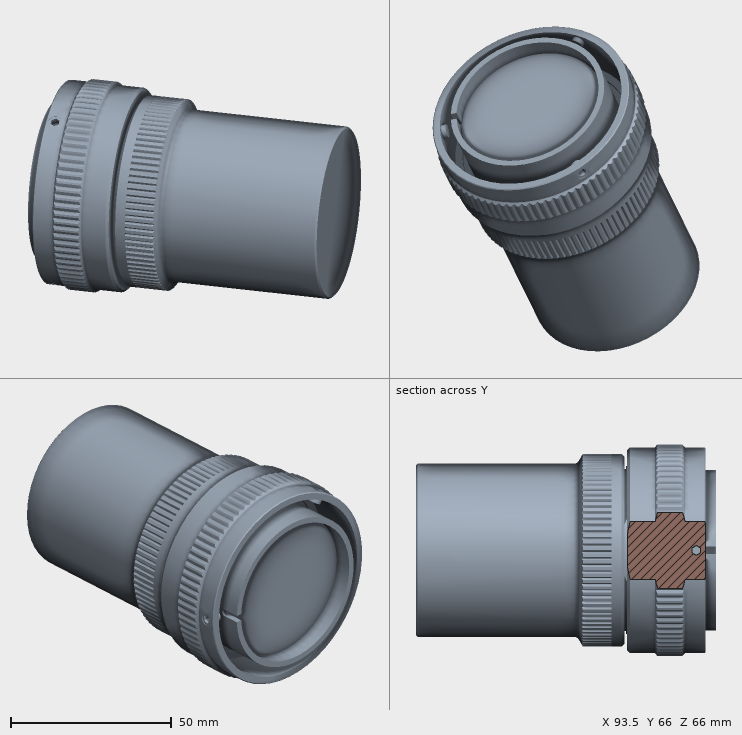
import cadquery as cq
import math

TOTAL_LENGTH = 93.5

SPIGOT_RADIUS = 25.1
SPIGOT_BORE_RADIUS = 23.2
SPIGOT_BORE_DEPTH = 5.6

NOTCH_WIDTH = 2.2
NOTCH_TAB_RADIUS = 24.2

COLLAR_FRONT = 3.3
COLLAR_BACK = 27.7
COLLAR_RADIUS = 32.1
COLLAR_FRONT_CHAMFER = 0.3
COLLAR_BACK_CHAMFER = 0.8

RECESS_RADIUS = 29.6
RECESS_DEPTH = 16.1
RECESS_STEP_RADIUS = 27.3
RECESS_STEP_DEPTH = 0.9

KNURL_FRONT = 9.7
KNURL_BACK = 19.1
KNURL_BEVEL = 0.8
KNURL_RADIUS = 33.0
KNURL_VALLEY_RADIUS = 32.4
KNURL_TEETH = 80
KNURL_FLAT = 0.7

SCREW_COUNT = 3
SCREW_X = 6.3
SCREW_DIAMETER = 4.2
SCREW_TOP_RADIUS = 31.9
SCREW_TIP_RADIUS = 28.05
SOCKET_ACROSS_FLATS = 2.5
SOCKET_DEPTH = 2.3
SOCKET_TURN = 30

NECK_RADIUS = 25.2
NECK_SHOULDER_RADIUS = 26.2
NECK_SHOULDER_LENGTH = 0.4

GRIP_FRONT = 28.5
GRIP_BACK = 41.5
GRIP_RADIUS = 30.0
GRIP_FRONT_CHAMFER = 0.9
GRIP_BACK_SLOPE = math.radians(60)

GROOVE_FRONT = 32.5
GROOVE_COUNT = 90
GROOVE_WIDTH = 1.0
GROOVE_DEPTH = 0.6
GROOVE_START_ANGLE = 3.0

BARREL_RADIUS = 27.0
BARREL_FILLET = 1.5
BARREL_END_CHAMFER = 0.6


def turned_body():
    """Solid of revolution: spigot, collar, neck, grip ring and barrel."""
    shoulder_back = COLLAR_BACK + NECK_SHOULDER_LENGTH
    corner_x = GRIP_BACK + (GRIP_RADIUS - BARREL_RADIUS) / math.tan(GRIP_BACK_SLOPE)
    tangent = BARREL_FILLET * math.tan(GRIP_BACK_SLOPE / 2)
    cone_end_x = corner_x - tangent * math.cos(GRIP_BACK_SLOPE)
    cone_end_r = BARREL_RADIUS + tangent * math.sin(GRIP_BACK_SLOPE)
    barrel_start_x = corner_x + tangent

    centre_r = BARREL_RADIUS + BARREL_FILLET
    fillet_mid = (
        barrel_start_x - BARREL_FILLET * math.sin(GRIP_BACK_SLOPE / 2),
        centre_r - BARREL_FILLET * math.cos(GRIP_BACK_SLOPE / 2),
    )
    profile = (
        cq.Workplane("XY")
        .moveTo(0, 0)
        .lineTo(0, SPIGOT_RADIUS)
        .lineTo(COLLAR_FRONT, SPIGOT_RADIUS)
        .lineTo(COLLAR_FRONT, COLLAR_RADIUS - COLLAR_FRONT_CHAMFER)
        .lineTo(COLLAR_FRONT + COLLAR_FRONT_CHAMFER, COLLAR_RADIUS)
        .lineTo(COLLAR_BACK - COLLAR_BACK_CHAMFER, COLLAR_RADIUS)
        .lineTo(COLLAR_BACK, COLLAR_RADIUS - COLLAR_BACK_CHAMFER)
        .lineTo(COLLAR_BACK, NECK_SHOULDER_RADIUS)
        .lineTo(shoulder_back, NECK_SHOULDER_RADIUS)
        .lineTo(shoulder_back, NECK_RADIUS)
        .lineTo(GRIP_FRONT, NECK_RADIUS)
        .lineTo(GRIP_FRONT, GRIP_RADIUS - GRIP_FRONT_CHAMFER)
        .lineTo(GRIP_FRONT + GRIP_FRONT_CHAMFER, GRIP_RADIUS)
        .lineTo(GRIP_BACK, GRIP_RADIUS)
        .lineTo(cone_end_x, cone_end_r)
        .threePointArc(fillet_mid, (barrel_start_x, BARREL_RADIUS))
        .lineTo(TOTAL_LENGTH - BARREL_END_CHAMFER, BARREL_RADIUS)
        .lineTo(TOTAL_LENGTH, BARREL_RADIUS - BARREL_END_CHAMFER)
        .lineTo(TOTAL_LENGTH, 0)
        .close()
    )
    return profile.revolve(360, (0, 0, 0), (1, 0, 0))


def tube(front, length, outer_radius, inner_radius):
    """Plain ring around the X axis."""
    return (
        cq.Workplane("YZ", origin=(front, 0, 0))
        .circle(outer_radius)
        .circle(inner_radius)
        .extrude(length)
    )


def knurl_band():
    """Toothed ring with bevelled sides, fused onto the collar."""
    pitch = 2 * math.pi / KNURL_TEETH
    half_flat = KNURL_FLAT / 2 / KNURL_RADIUS
    outline = []
    for tooth in range(KNURL_TEETH):
        valley = tooth * pitch
        crest = valley + pitch / 2
        for radius, angle in (
            (KNURL_VALLEY_RADIUS, valley),
            (KNURL_RADIUS, crest - half_flat),
            (KNURL_RADIUS, crest + half_flat),
        ):
            outline.append((radius * math.cos(angle), radius * math.sin(angle)))
    teeth = (
        cq.Workplane("YZ", origin=(KNURL_FRONT, 0, 0))
        .polyline(outline)
        .close()
        .extrude(KNURL_BACK - KNURL_FRONT)
    )
    bevelled_ring = (
        cq.Workplane("XY")
        .polyline([
            (KNURL_FRONT, RECESS_RADIUS),
            (KNURL_FRONT, COLLAR_RADIUS),
            (KNURL_FRONT + KNURL_BEVEL, KNURL_RADIUS),
            (KNURL_BACK - KNURL_BEVEL, KNURL_RADIUS),
            (KNURL_BACK, COLLAR_RADIUS),
            (KNURL_BACK, RECESS_RADIUS),
        ])
        .close()
        .revolve(360, (0, 0, 0), (1, 0, 0))
    )
    return teeth.intersect(bevelled_ring)


def grip_grooves():
    """Straight V grooves around the grip ring, running out through its back cone."""
    tip_radius = GRIP_RADIUS - GROOVE_DEPTH
    top_radius = GRIP_RADIUS + GROOVE_DEPTH
    groove = (
        cq.Workplane("YZ", origin=(GROOVE_FRONT, 0, 0))
        .polyline([(tip_radius, 0), (top_radius, -GROOVE_WIDTH), (top_radius, GROOVE_WIDTH)])
        .close()
        .extrude(GRIP_BACK + GROOVE_DEPTH - GROOVE_FRONT)
        .val()
    )
    grooves = []
    for index in range(GROOVE_COUNT):
        angle = GROOVE_START_ANGLE + index * 360 / GROOVE_COUNT
        grooves.append(groove.rotate(cq.Vector(0, 0, 0), cq.Vector(1, 0, 0), angle))
    return cq.Workplane(cq.Compound.makeCompound(grooves))


def collar_recess():
    """Stepped ring-shaped recess around the spigot."""
    outer = tube(COLLAR_FRONT, RECESS_DEPTH, RECESS_RADIUS, SPIGOT_RADIUS)
    inner = tube(COLLAR_FRONT, RECESS_DEPTH + RECESS_STEP_DEPTH, RECESS_STEP_RADIUS, SPIGOT_RADIUS)
    return outer.union(inner)


def spigot_bore():
    """Shallow flat-bottomed bore in the front of the spigot."""
    return cq.Workplane("YZ").circle(SPIGOT_BORE_RADIUS).extrude(SPIGOT_BORE_DEPTH)


def spigot_notch():
    """Round-ended notch through the spigot wall on the +Y side."""
    slot_start = SPIGOT_BORE_RADIUS - NOTCH_WIDTH
    slot = (
        cq.Workplane("XZ", origin=(0, slot_start, 0))
        .slot2D(2 * SPIGOT_BORE_DEPTH + NOTCH_WIDTH, NOTCH_WIDTH)
        .extrude(slot_start - RECESS_STEP_RADIUS)
    )
    tab = (
        cq.Workplane("YZ", origin=(SPIGOT_BORE_DEPTH, 0, 0))
        .circle(NOTCH_TAB_RADIUS)
        .extrude(NOTCH_WIDTH)
    )
    return slot.cut(tab)


def radial_plane(radius, angle):
    """Work plane at a radius, facing outward at an angle from +Y towards +Z."""
    outward = cq.Vector(0, math.cos(angle), math.sin(angle))
    origin = outward * radius + cq.Vector(SCREW_X, 0, 0)
    return cq.Workplane(cq.Plane(origin, xDir=(1, 0, 0), normal=outward))


def set_screw(angle):
    """Set screw with a hexagon socket."""
    screw = (
        radial_plane(SCREW_TIP_RADIUS, angle)
        .circle(SCREW_DIAMETER / 2)
        .extrude(SCREW_TOP_RADIUS - SCREW_TIP_RADIUS)
    )
    socket = (
        radial_plane(SCREW_TOP_RADIUS, angle)
        .transformed(rotate=(0, 0, SOCKET_TURN))
        .polygon(6, SOCKET_ACROSS_FLATS / math.cos(math.pi / 6))
        .extrude(-SOCKET_DEPTH)
    )
    return screw.cut(socket)


def screw_hole(angle):
    """Radial hole through the collar wall for a set screw."""
    return (
        radial_plane(SCREW_TIP_RADIUS, angle)
        .circle(SCREW_DIAMETER / 2)
        .extrude(KNURL_RADIUS - SCREW_TIP_RADIUS)
    )


result = turned_body().union(knurl_band())
result = result.cut(grip_grooves())
result = result.cut(collar_recess())
result = result.cut(spigot_bore())
result = result.cut(spigot_notch())
for index in range(SCREW_COUNT):
    screw_angle = 2 * math.pi * index / SCREW_COUNT
    result = result.cut(screw_hole(screw_angle)).union(set_screw(screw_angle))